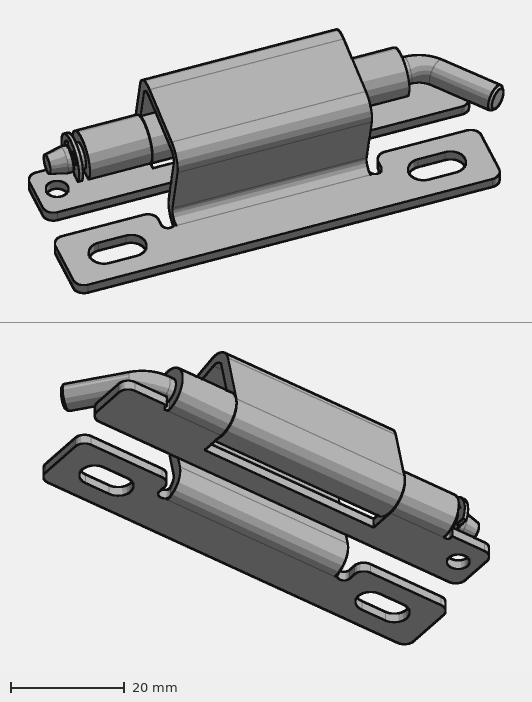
import cadquery as cq
import math


sheet = 2.0
pin_radius = 2.45
knuckle_radius = 4.5
plate_length = 80.0
plate_corner = 2.0

bracket_length = 36.5
bracket_tilt = 13.0
bend_inner = 2.0
bend_outer = bend_inner + sheet
bracket_wall = 15.0
bracket_roof = 15.3
bracket_base = -8.1
bracket_plate_left = 11.96
bracket_plate_width = 13.0
bracket_plate_right = bracket_plate_left + bracket_plate_width
bracket_slot_width = 5.4
bracket_slot_length = 10.5
bracket_slot_y = 30.0
bracket_notch_width = 2.4
bracket_notch_end = 16.64

leaf_left = -1.15
leaf_right = 9.5
leaf_base = -knuckle_radius
leaf_top = leaf_base + sheet
leaf_notch_width = 1.0
leaf_notch_end = 0.0
knuckle_end = 30.0
side_gap = 0.1
clearance = 0.5
leaf_hole_diameter = 4.0
leaf_hole_x = 4.0
leaf_hole_y = -36.0

tip_end = -36.4
tip_radius = 1.75
taper_start = -33.3
groove_radius = 2.0
groove_start = -31.3
groove_width = 1.0
handle_bend_start = 31.23
handle_bend_radius = 6.0
handle_angle = 52.0
handle_length = 12.62
handle_chamfer = 0.5

clip_thickness = 0.75
clip_flat = -2.2
clip_lobe_radius = 3.15
clip_lobe_span = 45.0
clip_lobe_angles = (42.5, 137.5)


def cylinder(radius, y_start, y_end):
    """Cylinder on the pin axis between two Y positions."""
    return cq.Workplane("XZ", origin=(0, y_start, 0)).circle(radius).extrude(y_start - y_end)


def block(x_start, x_end, y_start, y_end, z_start, z_end):
    """Box between two opposite corners."""
    size = (x_end - x_start, y_end - y_start, z_end - z_start)
    return cq.Workplane("XY").box(*size, centered=False).translate((x_start, y_start, z_start))


def round_ended_notch(x_start, x_end, y_centre, width, base):
    """Cutter for a notch that runs along X through a plate and ends in a half circle at x_end."""
    radius = width / 2
    centre = x_end - radius
    straight = block(x_start, centre, y_centre - radius, y_centre + radius, base, base + sheet)
    rounded = cq.Workplane("XY", origin=(centre, y_centre, base)).circle(radius).extrude(sheet)
    return straight.union(rounded)


def bracket_plate():
    """Flat mounting plate: two slotted ears, set apart from the bend by relief notches."""
    half = plate_length / 2
    half_bracket = bracket_length / 2
    ear_start = half_bracket + bracket_notch_width
    centre_x = (bracket_plate_left + bracket_plate_right) / 2
    notch_centre = half_bracket + bracket_notch_width / 2
    spine_left = bracket_notch_end - bracket_notch_width / 2

    plate = block(spine_left, bracket_plate_right, -half, half, bracket_base, bracket_base + sheet)
    for side in (-1, 1):
        ear_ends = sorted((side * ear_start, side * half))
        ear = block(bracket_plate_left, bracket_plate_right, *ear_ends, bracket_base, bracket_base + sheet)
        plate = plate.union(ear)
    plate = plate.edges("|Z and <X").fillet(plate_corner)
    plate = plate.edges("|Z and >X").fillet(plate_corner)
    for side in (-1, 1):
        slot = (
            cq.Workplane("XY", origin=(centre_x, side * bracket_slot_y, bracket_base))
            .slot2D(bracket_slot_length, bracket_slot_width, 90)
            .extrude(sheet)
        )
        notch = round_ended_notch(
            bracket_plate_left, bracket_notch_end, side * notch_centre, bracket_notch_width, bracket_base
        )
        plate = plate.cut(slot).cut(notch)
    return plate


def bracket_channel():
    """Tilted wall, roof and far wall, bent into the plate at the bottom."""
    tilt = math.radians(bracket_tilt)

    def tilted(across, up):
        return (
            across * math.cos(tilt) + up * math.sin(tilt),
            up * math.cos(tilt) - across * math.sin(tilt),
        )

    def arc_point(centre, radius, degrees):
        angle = math.radians(degrees)
        return (centre[0] + radius * math.cos(angle), centre[1] + radius * math.sin(angle))

    near_outer = -knuckle_radius
    near_inner = near_outer + sheet
    far_inner = bracket_wall - sheet
    roof_inner = bracket_roof - sheet
    near_bend = tilted(near_outer + bend_outer, bracket_roof - bend_outer)
    far_bend = tilted(bracket_wall - bend_outer, bracket_roof - bend_outer)
    far_middle = 45 - bracket_tilt
    near_middle = far_middle + 90

    foot_z = bracket_base + bend_outer
    foot_x = (bracket_wall + bend_inner + foot_z * math.sin(tilt)) / math.cos(tilt)
    foot = (foot_x, foot_z)
    foot_wall = 180 - bracket_tilt
    foot_plate = 270
    foot_middle = (foot_wall + foot_plate) / 2

    profile = (
        cq.Workplane("XZ", origin=(0, bracket_length / 2, 0))
        .moveTo(*tilted(near_outer, 0))
        .lineTo(*tilted(near_outer, bracket_roof - bend_outer))
        .threePointArc(
            arc_point(near_bend, bend_outer, near_middle), tilted(near_outer + bend_outer, bracket_roof)
        )
        .lineTo(*tilted(bracket_wall - bend_outer, bracket_roof))
        .threePointArc(
            arc_point(far_bend, bend_outer, far_middle), tilted(bracket_wall, bracket_roof - bend_outer)
        )
        .lineTo(*arc_point(foot, bend_inner, foot_wall))
        .threePointArc(arc_point(foot, bend_inner, foot_middle), arc_point(foot, bend_inner, foot_plate))
        .lineTo(bracket_plate_right - plate_corner, bracket_base + sheet)
        .lineTo(bracket_plate_right - plate_corner, bracket_base)
        .lineTo(foot_x, bracket_base)
        .threePointArc(arc_point(foot, bend_outer, foot_middle), arc_point(foot, bend_outer, foot_wall))
        .lineTo(*tilted(far_inner, bracket_roof - bend_outer))
        .threePointArc(
            arc_point(far_bend, bend_inner, far_middle), tilted(bracket_wall - bend_outer, roof_inner)
        )
        .lineTo(*tilted(near_outer + bend_outer, roof_inner))
        .threePointArc(
            arc_point(near_bend, bend_inner, near_middle), tilted(near_inner, bracket_roof - bend_outer)
        )
        .lineTo(*tilted(near_inner, 0))
        .close()
    )
    return profile.extrude(bracket_length)


def make_bracket():
    """Moving half: middle knuckle, bent channel and slotted plate."""
    half = bracket_length / 2
    foot_cut = block(bracket_plate_left, bracket_notch_end, -half, half, bracket_base, bracket_base + sheet)
    bracket = bracket_plate().cut(foot_cut).union(bracket_channel())
    bracket = bracket.union(cylinder(knuckle_radius, -half, half))
    return bracket.cut(cylinder(pin_radius, -half, half))


def leaf_plate():
    """Flat plate under the pin, cleared around the bracket knuckle."""
    half = plate_length / 2
    knuckle_start = bracket_length / 2 + side_gap
    plate = block(leaf_left, leaf_right, -half, half, leaf_base, leaf_top)
    plate = plate.edges("|Z").fillet(plate_corner)
    relief = block(
        leaf_left, knuckle_radius + clearance, -knuckle_start, knuckle_start, leaf_base, leaf_top
    )
    hole = (
        cq.Workplane("XY", origin=(leaf_hole_x, leaf_hole_y, leaf_base))
        .circle(leaf_hole_diameter / 2)
        .extrude(sheet)
    )
    plate = plate.cut(relief).cut(hole)
    for side in (-1, 1):
        bend_ends = sorted((side * knuckle_start, side * knuckle_end))
        plate = plate.cut(block(leaf_left, 0, *bend_ends, leaf_base, leaf_top))
        notch_centre = side * (knuckle_end + leaf_notch_width / 2)
        plate = plate.cut(
            round_ended_notch(leaf_left, leaf_notch_end, notch_centre, leaf_notch_width, leaf_base)
        )
    return plate


def pin():
    """Straight pin with a tapered, grooved tip and a bent handle."""
    shaft = (
        cq.Workplane("XY")
        .moveTo(0, tip_end)
        .lineTo(tip_radius, tip_end)
        .lineTo(pin_radius, taper_start)
        .lineTo(pin_radius, groove_start - groove_width)
        .lineTo(groove_radius, groove_start - groove_width)
        .lineTo(groove_radius, groove_start)
        .lineTo(pin_radius, groove_start)
        .lineTo(pin_radius, handle_bend_start)
        .lineTo(0, handle_bend_start)
        .close()
        .revolve(360, (0, 0, 0), (0, 1, 0))
    )
    bend = (
        cq.Workplane("XZ", origin=(0, handle_bend_start, 0))
        .circle(pin_radius)
        .revolve(handle_angle, (handle_bend_radius, 1, 0), (handle_bend_radius, 0, 0))
    )
    angle = math.radians(handle_angle)
    direction = cq.Vector(math.sin(angle), math.cos(angle), 0)
    bend_end = cq.Vector(
        handle_bend_radius * (1 - math.cos(angle)),
        handle_bend_start + handle_bend_radius * math.sin(angle),
        0,
    )
    handle = (
        cq.Workplane(cq.Plane(origin=bend_end, xDir=(0, 0, 1), normal=direction))
        .circle(pin_radius)
        .extrude(handle_length)
        .faces(cq.selectors.DirectionMinMaxSelector(direction))
        .chamfer(handle_chamfer)
    )
    return shaft.union(bend).union(handle)


def clip():
    """Retaining clip in the pin groove, open at the bottom, with two lobed recesses."""
    clip_end = groove_start - clip_thickness
    ring = cylinder(knuckle_radius, clip_end, groove_start)
    ring = ring.cut(cylinder(groove_radius, clip_end, groove_start))
    below_flat = block(
        -knuckle_radius, knuckle_radius, clip_end, groove_start, -knuckle_radius, clip_flat
    )
    mouth = block(-groove_radius, groove_radius, clip_end, groove_start, -knuckle_radius, 0)
    ring = ring.cut(below_flat).cut(mouth)
    for middle in clip_lobe_angles:
        angles = [math.radians(middle + step * clip_lobe_span / 2) for step in (-1, 0, 1)]
        start, centre, end = [
            (clip_lobe_radius * math.cos(angle), clip_lobe_radius * math.sin(angle)) for angle in angles
        ]
        lobe = (
            cq.Workplane("XZ", origin=(0, groove_start, 0))
            .lineTo(*start)
            .threePointArc(centre, end)
            .close()
            .extrude(clip_thickness)
        )
        ring = ring.cut(lobe)
    return ring


def make_leaf():
    """Fixed half: plate and two end knuckles, with the pin and its clip held in them."""
    knuckle_start = bracket_length / 2 + side_gap
    leaf = leaf_plate()
    for ends in ((-knuckle_end, -knuckle_start), (knuckle_start, knuckle_end)):
        leaf = leaf.union(cylinder(knuckle_radius, *ends))
    return leaf.union(pin()).union(clip())


bracket = make_bracket()
leaf = make_leaf()

result = cq.Compound.makeCompound([*bracket.solids().vals(), *leaf.solids().vals()])